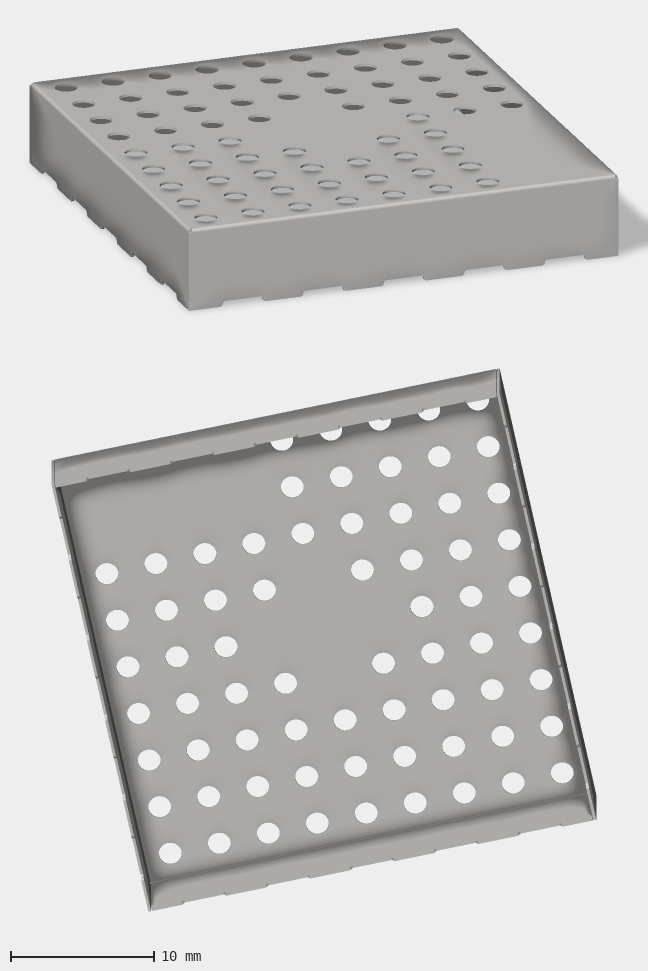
import cadquery as cq
side = 32
height = 6.0
sheet = 0.2
bend_radius = 0.24

hole_diameter = 1.6
hole_span = 28.0
holes_per_side = 9
hole_pitch = hole_span / (holes_per_side - 1)
middle = holes_per_side // 2
blank_steps = 1
plain_corner_rows = 2

notch_count = 5
notch_span = 24
notch_pitch = notch_span / (notch_count - 1)
notch_mouth = 3.4
flank_radius = 0.2
notch_depth = 2 * flank_radius

half_side = side / 2
inner_side = side - 2 * sheet
fold_line = half_side - bend_radius
fold_height = height - bend_radius


def block(x_size, y_size, z_size):
    """Rectangular block centred on the Z axis, standing on the foot plane."""
    return cq.Workplane("XY").box(x_size, y_size, z_size, centered=(True, True, False))


def make_sheet_shell():
    """Hollow cover, open below, with its four top edges bent to a constant sheet thickness."""
    outer = block(side, side, height)
    outer = outer.faces(">Z").edges().fillet(bend_radius)
    inner = block(inner_side, inner_side, height - sheet)
    inner = inner.faces(">Z").edges().fillet(bend_radius - sheet)
    return outer.cut(inner)


def make_folded_cover():
    """Walls separated at the corners: the X walls run full width, the Y walls fit between them."""
    shell = make_sheet_shell()
    flat_width = 2 * fold_line
    y_walls_and_lid = shell.intersect(block(flat_width, side, height))
    x_folds = shell.intersect(block(side, flat_width, height))
    x_walls = block(side, side, fold_height).cut(block(inner_side, side, fold_height))
    return y_walls_and_lid.union(x_folds).union(x_walls)


def has_hole(column, row):
    """The back right corner and a small diamond in the middle stay solid."""
    in_plain_corner = column > middle and row >= holes_per_side - plain_corner_rows
    in_blank_centre = abs(column - middle) + abs(row - middle) <= blank_steps
    return not (in_plain_corner or in_blank_centre)


def make_holes():
    """Round holes through the lid on a square grid."""
    points = [
        ((column - middle) * hole_pitch, (row - middle) * hole_pitch)
        for column in range(holes_per_side)
        for row in range(holes_per_side)
        if has_hole(column, row)
    ]
    lid = cq.Workplane("XY").workplane(offset=height)
    return lid.pushPoints(points).circle(hole_diameter / 2).extrude(-2 * sheet)


def make_notch(plane, centre):
    """Notch across the whole part; each flank is an S of two tangent quarter arcs."""
    mouth_edge = notch_mouth / 2
    waist_edge = mouth_edge - flank_radius
    floor_edge = waist_edge - flank_radius
    return (
        cq.Workplane(plane)
        .center(centre, 0)
        .moveTo(-mouth_edge, 0)
        .radiusArc((-waist_edge, flank_radius), -flank_radius)
        .radiusArc((-floor_edge, notch_depth), flank_radius)
        .lineTo(floor_edge, notch_depth)
        .radiusArc((waist_edge, flank_radius), flank_radius)
        .radiusArc((mouth_edge, 0), -flank_radius)
        .close()
        .extrude(half_side, both=True)
    )


result = make_folded_cover().cut(make_holes())
for wall_plane in ("XZ", "YZ"):
    for index in range(notch_count):
        notch_centre = index * notch_pitch - notch_span / 2
        result = result.cut(make_notch(wall_plane, notch_centre))